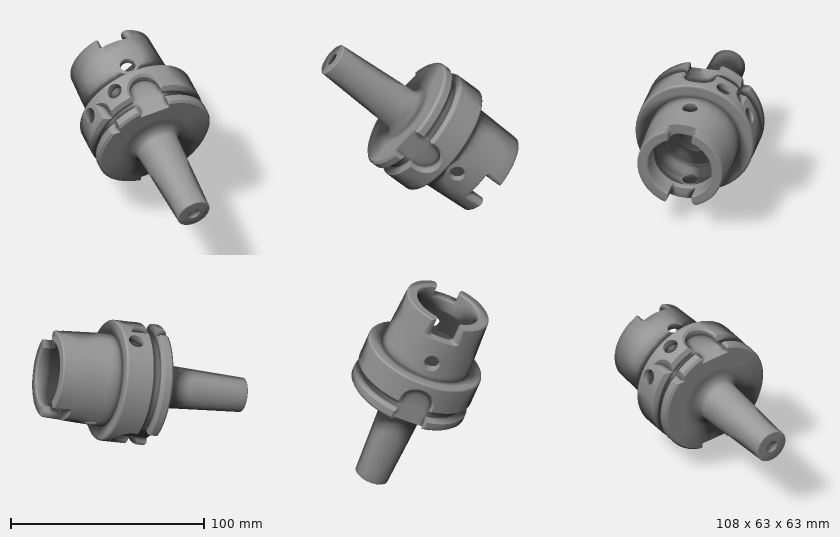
import cadquery as cq
import math

total_length = 108.0
taper_length = 32.0
flange_length = 26.1
nose_end_x = total_length - taper_length

taper_root_radius = 24.3
taper_slope = 0.05
taper_tip_radius = taper_root_radius - taper_slope * taper_length
taper_tip_round = 1.0

flange_diameter = 63.0
flange_radius = flange_diameter / 2
flange_front_round = 1.3
flange_rear_chamfer = 1.2
groove_floor_radius = 27.4
groove_start_x = 16.1
groove_end_x = 20.0
groove_flare_width = 1.4
groove_flare_angle = math.radians(60)
groove_flare_depth = groove_flare_width * math.tan(groove_flare_angle)

nose_root_radius = 11.6
nose_half_angle = math.radians(3)
nose_tip_radius = nose_root_radius - math.tan(nose_half_angle) * (nose_end_x - flange_length)
nose_root_fillet = 4.6
nose_tip_chamfer = 0.3

mouth_radius = 17.0
mouth_depth = 13.0
mouth_chamfer = 0.6
chamber_radius = 20.0
chamber_end_x = -6.3
chamber_cone_angle = math.radians(30)
seat_radius = 17.1
seat_start_x = chamber_end_x + (chamber_radius - seat_radius) / math.tan(chamber_cone_angle)
seat_floor_x = 1.7
seat_corner_fillet = 1.1
coolant_bore_radius = 8.3
coolant_bore_depth = 10.8
coolant_bore_chamfer = 0.6
through_bore_radius = 3.5

cross_hole_x = -9.0
cross_hole_radius = 4.0
cross_hole_chamfer = 0.3

drive_slot_half_width = 6.4
drive_slot_flare_radius = 2.8
drive_slot_flare_z = 18.1
drive_slot_floor_fillet = 1.3
drive_slot_depth_top = 6.2
drive_slot_depth_bottom = 10.0
drive_slot_inner_z = 10.8
drive_slot_outer_z = 27.0
drive_slot_outer_half_width = 13.0

keyway_half_width = 8.0
keyway_floor_z = 26.5
keyway_arc_x = 13.0
keyway_chamfer = 1.3

notch_corner = 19.9
notch_arc_radius = 7.6
notch_arc_x = 12.0

pocket_x = 6.3
pocket_diameter = 8.1
pocket_floor_radius = 26.7
pocket_angles = (27, 63.5)

clearance = 5.4
margin = 0.3


def revolve_about_x(points):
    return cq.Workplane("XY").polyline(points).close().revolve(360, (0, 0, 0), (1, 0, 0))


def make_shank():
    shank = revolve_about_x([
        (-taper_length, 0),
        (-taper_length, taper_tip_radius),
        (clearance, taper_root_radius + taper_slope * clearance),
        (clearance, 0),
    ])
    shank = shank.faces("<X").edges().fillet(taper_tip_round)
    cross_hole = (
        cq.Workplane("XY", origin=(cross_hole_x, 0, -flange_radius))
        .circle(cross_hole_radius).extrude(2 * flange_radius)
    )
    reach = cross_hole_radius + margin
    hole_zone = cq.selectors.BoxSelector(
        (cross_hole_x - reach, -reach, -flange_radius),
        (cross_hole_x + reach, reach, flange_radius),
        boundingbox=True,
    )
    return shank.cut(cross_hole).edges(hole_zone).edges("not |Z").chamfer(cross_hole_chamfer)


def make_keyway_tool():
    height = flange_radius + clearance - keyway_floor_z
    end_x = flange_length + clearance
    return (
        cq.Workplane("XY", origin=(0, 0, keyway_floor_z))
        .moveTo(end_x, -keyway_half_width)
        .lineTo(keyway_arc_x, -keyway_half_width)
        .threePointArc((keyway_arc_x - keyway_half_width, 0), (keyway_arc_x, keyway_half_width))
        .lineTo(end_x, keyway_half_width)
        .close()
        .extrude(height)
    )


def make_flange_blank():
    """Plain disc with both keyways, their upper edges chamfered."""
    flange = cq.Workplane("YZ").circle(flange_radius).extrude(flange_length)
    keyway = make_keyway_tool()
    flange = flange.cut(keyway).cut(keyway.mirror("XY"))
    start_x = keyway_arc_x - keyway_half_width - margin
    reach_y = keyway_half_width + margin
    rim_z = math.sqrt(flange_radius**2 - keyway_half_width**2)
    for side in (1, -1):
        rim_edges = cq.selectors.BoxSelector(
            (start_x, -reach_y, side * (rim_z - margin)),
            (flange_length - margin, reach_y, side * (flange_radius + margin)),
        )
        flange = flange.edges(rim_edges).chamfer(keyway_chamfer)
    return flange


def make_flange_envelope():
    """Flange outline with rounded front edge, V groove and chamfered rear edge."""
    envelope = (
        cq.Workplane("YZ").circle(flange_radius).extrude(flange_length)
        .faces("<X").edges().fillet(flange_front_round)
        .faces(">X").edges().chamfer(flange_rear_chamfer)
    )
    groove_rim_radius = flange_radius - groove_flare_depth
    groove_profile = [
        (groove_start_x - groove_flare_width, flange_radius),
        (groove_start_x, groove_rim_radius),
        (groove_start_x, groove_floor_radius),
        (groove_end_x, groove_floor_radius),
        (groove_end_x, groove_rim_radius),
        (groove_end_x + groove_flare_width, flange_radius),
    ]
    return envelope.cut(revolve_about_x(groove_profile))


def make_nose():
    nose = revolve_about_x([
        (flange_length, 0),
        (flange_length, nose_root_radius),
        (nose_end_x, nose_tip_radius),
        (nose_end_x, 0),
    ])
    return nose.faces(">X").edges().chamfer(nose_tip_chamfer)


def make_mouth_chamfer(start_x):
    """Cone that breaks the edge of the mouth where it opens at start_x."""
    return revolve_about_x([
        (start_x, 0),
        (start_x, mouth_radius + mouth_chamfer),
        (start_x + mouth_chamfer, mouth_radius),
        (start_x + mouth_chamfer, 0),
    ])


def make_bore():
    step_x = mouth_depth - taper_length
    chamber = revolve_about_x([
        (step_x, 0),
        (step_x, chamber_radius),
        (chamber_end_x, chamber_radius),
        (seat_start_x, seat_radius),
        (seat_start_x, 0),
    ])
    seat = (
        cq.Workplane("YZ", origin=(seat_start_x, 0, 0))
        .circle(seat_radius).extrude(seat_floor_x - seat_start_x)
        .faces(">X").edges().fillet(seat_corner_fillet)
    )
    mouth = cq.Workplane("YZ", origin=(-taper_length, 0, 0)).circle(mouth_radius).extrude(mouth_depth)
    mouth = mouth.union(make_mouth_chamfer(-taper_length))
    coolant_end_x = seat_floor_x + coolant_bore_depth
    stepped_bore = revolve_about_x([
        (seat_floor_x, 0),
        (seat_floor_x, coolant_bore_radius + coolant_bore_chamfer),
        (seat_floor_x + coolant_bore_chamfer, coolant_bore_radius),
        (coolant_end_x, coolant_bore_radius),
        (coolant_end_x, through_bore_radius),
        (nose_end_x, through_bore_radius),
        (nose_end_x, 0),
    ])
    return mouth.union(chamber).union(seat).union(stepped_bore)


def make_drive_slot(depth):
    """Slot tool on the +Z side, with flared walls and a chamfer where its floor meets the mouth."""
    flare_y = drive_slot_half_width + drive_slot_flare_radius
    flare_top_z = drive_slot_flare_z + drive_slot_flare_radius
    arc_mid_y = flare_y - drive_slot_flare_radius * math.sqrt(0.5)
    arc_mid_z = drive_slot_flare_z + drive_slot_flare_radius * math.sqrt(0.5)
    half = (
        cq.Workplane("YZ", origin=(-taper_length - clearance, 0, 0))
        .moveTo(0, drive_slot_inner_z)
        .lineTo(drive_slot_half_width, drive_slot_inner_z)
        .lineTo(drive_slot_half_width, drive_slot_flare_z)
        .threePointArc((arc_mid_y, arc_mid_z), (flare_y, flare_top_z))
        .lineTo(drive_slot_outer_half_width, flare_top_z)
        .lineTo(drive_slot_outer_half_width, drive_slot_outer_z)
        .lineTo(0, drive_slot_outer_z)
        .close()
        .extrude(depth + clearance)
    )
    slot = half.union(half.mirror("XZ")).clean()
    slot = slot.faces(">X").edges().fillet(drive_slot_floor_fillet)
    slot_sector = (
        cq.Workplane("XY")
        .box(total_length, 2 * drive_slot_half_width, flange_radius, centered=(True, True, False))
    )
    return slot.union(make_mouth_chamfer(depth - taper_length).intersect(slot_sector))


def make_notch():
    """Square-cornered cut across the -Y, +Z part of the rim, rounded at its closed end."""
    end_x = flange_length + clearance
    outer_y = -flange_radius - clearance
    arc_y = -notch_corner - notch_arc_radius
    return (
        cq.Workplane("XY", origin=(0, 0, notch_corner))
        .moveTo(end_x, -notch_corner)
        .lineTo(notch_arc_x, -notch_corner)
        .radiusArc((notch_arc_x - notch_arc_radius, arc_y), -notch_arc_radius)
        .lineTo(notch_arc_x - notch_arc_radius, outer_y)
        .lineTo(end_x, outer_y)
        .close()
        .extrude(flange_radius)
    )


def make_pocket(angle):
    """Flat-bottomed pocket, leaning from +Z towards -Y by the given angle."""
    pocket = (
        cq.Workplane("XY", origin=(pocket_x, 0, pocket_floor_radius))
        .circle(pocket_diameter / 2).extrude(flange_radius)
    )
    return pocket.rotate((0, 0, 0), (1, 0, 0), angle)


flange = make_flange_blank().intersect(make_flange_envelope()).cut(make_notch())
for pocket_angle in pocket_angles:
    flange = flange.cut(make_pocket(pocket_angle))

root_reach = nose_root_radius + margin
nose_root_edge = cq.selectors.BoxSelector(
    (flange_length - margin, -root_reach, -root_reach),
    (flange_length + margin, root_reach, root_reach),
    boundingbox=True,
)
result = (
    flange.union(make_nose()).edges(nose_root_edge).fillet(nose_root_fillet)
    .union(make_shank())
    .cut(make_bore())
    .cut(make_drive_slot(drive_slot_depth_top))
    .cut(make_drive_slot(drive_slot_depth_bottom).mirror("XY"))
)